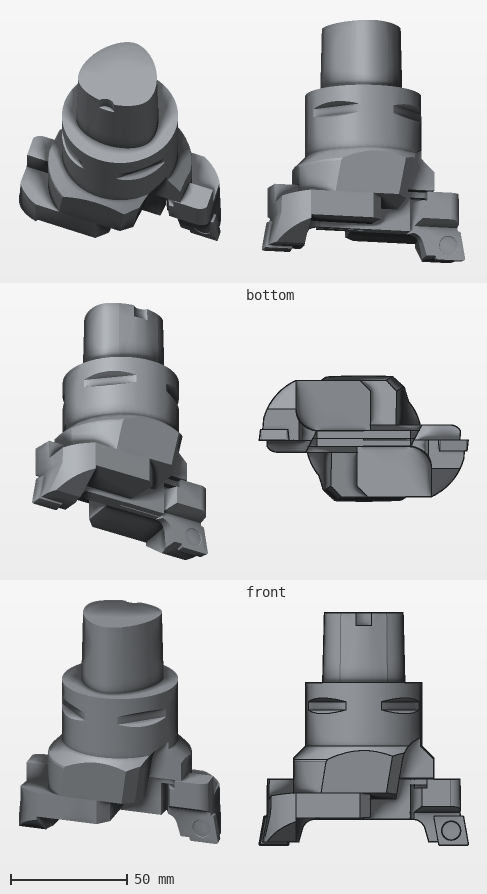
import cadquery as cq
import math


SHANK_LENGTH = 30.0
SHANK_MEAN_RADIUS = 17.7
SHANK_ECCENTRICITY = 2.4
LOBE_HALF_ANGLE = 36.0
SHANK_TAPER = 0.025
KEYWAY_RADIUS = 4.1
KEYWAY_CENTRE_Y = -17.9
KEYWAY_DEPTH = 5.4

FLANGE_RADIUS = 25.0
SKIRT_RADIUS = 31.0
CONE_TOP_Z = -27.25
CONE_BOTTOM_Z = -33.0
SKIRT_TOP_Z = -34.0
CONE_BOTTOM_RADIUS = FLANGE_RADIUS + CONE_TOP_Z - CONE_BOTTOM_Z
SIDE_FLAT_X = 30.1

GRIPPER_Z = -10.0
GRIPPER_FLOOR_DISTANCE = 22.2
GRIPPER_FLOOR_HALF_HEIGHT = 1.7
GRIPPER_SLOPE = 0.6

HALF_WIDTH = 25.0
RIM_Z = -47.4
FLAT_PEAK_Y = 26.955
FLAT_PEAK_Z = CONE_TOP_Z + FLANGE_RADIUS - FLAT_PEAK_Y
FLAT_SLOPE = (FLAT_PEAK_Y - HALF_WIDTH) / (FLAT_PEAK_Z - RIM_Z)

SLOT_HALF_WIDTH = 5.88
SLOT_TOP_Z = -41.0
KEY_TOP_Z = -41.5
SHOULDER_Z = -50.1

CLEARANCE_FOOT_X = 13.8
CLEARANCE_ANGLE = math.radians(9.6)
CLEARANCE_ARC_START_Z = CONE_BOTTOM_Z
CLEARANCE_ARC_RADIUS = 12.0
CORNER_CHAMFER = 4.55

CARTRIDGE_END_X = -2.9
LEG_BOTTOM_Z = -68.45
OUTER_ARC_CENTRE_X = 18.6
OUTER_ARC_CENTRE_Y = 2.0
OUTER_ARC_RADIUS = 25.3
LEG_CHAMFER_TOP_Z = -59.8
LEG_CHAMFER_BOTTOM_Y = 12.8
KEY_CORNER_RADIUS = 5.0
KEY_OUTER_X = 42.2
KEY_END_X = 25.0
KEY_END_SLOPE = 0.53
END_FACE_X = 41.4
END_FACE_SLOPE = 0.09
KEY_LEAN = 0.3
LEG_FLARE = 2.4
LEDGE_Z = -53.2
LEDGE_ROOT_Z = -55.85

TONGUE_WIDTH = 3.4
TONGUE_END_X = 20.0
TONGUE_ARM_END_X = 27.1
TONGUE_ARM_BOTTOM_Z = -44.0
ARM_NOTCH_BOTTOM_Z = -45.4

ARCH_Z = -58.8
ARCH_CORNER_X = 25.15
ARCH_FILLET = 5.5
ARCH_LEG_SLOPE = 0.287

RELIEF_WALL_X = 29.1
RELIEF_CORNER_RADIUS = 10.0
RELIEF_ROOF_Z = -56.5
RELIEF_TILT = 4.5

CUTTING_DIAMETER = 89.98
TOOL_TIP_Z = -70.0
INSERT_SIZE = 12.7
INSERT_THICKNESS = 4.76
INSERT_NOSE_RADIUS = 0.8
INSERT_RELIEF_ANGLE = 7.0
INSERT_LEAN = math.radians(10)
SCREW_HEAD_DIAMETER = 8.27
SCREW_HOLE_DIAMETER = 5.5
SCREW_SINK_ANGLE = 60.0
SCREW_RECESS = 0.3
RIGHT_RAKE_Y = 0.5
LEFT_RAKE_Y = 0.8

REACH = 80.0


def yz_prism(points):
    """Prism along the whole X width from (y, z) points."""
    return cq.Workplane("YZ").polyline(points).close().extrude(REACH, both=True)


def xz_prism(points):
    """Prism along the whole Y width from (x, z) points."""
    return cq.Workplane("XZ").polyline(points).close().extrude(REACH, both=True)


def box_between(x0, x1, y0, y1, z0, z1):
    box = cq.Workplane("XY").box(x1 - x0, y1 - y0, z1 - z0, centered=False)
    return box.translate((x0, y0, z0))


def opposite(shape):
    return shape.rotate((0, 0, 0), (0, 0, 1), 180)



def shank_point(radius, angle):
    """Point of the three-lobed outline at an angle counted from -Y, with one lobe towards +Y."""
    e = SHANK_ECCENTRICITY
    across = radius * math.sin(angle) + e * math.sin(2 * angle) + e / 2 * math.sin(4 * angle)
    along = radius * math.cos(angle) - e * math.cos(2 * angle) + e / 2 * math.cos(4 * angle)
    return (across, -along)


def make_shank_outline(radius, z):
    """Closed outline of three lobes and the three flanks between them."""
    seams = []
    for lobe in (60, 180, 300):
        seams += [lobe - LOBE_HALF_ANGLE, lobe + LOBE_HALF_ANGLE]
    ends = seams[1:] + [seams[0] + 360]
    outline = cq.Workplane("XY", origin=(0, 0, z))
    for start, end in zip(seams, ends):
        outline = outline.parametricCurve(
            lambda angle: shank_point(radius, angle),
            N=24, start=math.radians(start), stop=math.radians(end), makeWire=False,
        )
    return outline.wire().val()


def make_shank():
    top_radius = SHANK_MEAN_RADIUS - SHANK_TAPER * SHANK_LENGTH
    outlines = [make_shank_outline(SHANK_MEAN_RADIUS, 0), make_shank_outline(top_radius, SHANK_LENGTH)]
    shank = cq.Workplane(cq.Solid.makeLoft(outlines, True))
    keyway = (
        cq.Workplane("XY", origin=(0, KEYWAY_CENTRE_Y, SHANK_LENGTH))
        .circle(KEYWAY_RADIUS)
        .extrude(-KEYWAY_DEPTH)
    )
    return shank.cut(keyway)


def make_gripper_groove():
    outer_distance = FLANGE_RADIUS + 1
    outer_half = GRIPPER_FLOOR_HALF_HEIGHT + GRIPPER_SLOPE * (outer_distance - GRIPPER_FLOOR_DISTANCE)
    return xz_prism([
        (GRIPPER_FLOOR_DISTANCE, GRIPPER_Z - GRIPPER_FLOOR_HALF_HEIGHT),
        (outer_distance, GRIPPER_Z - outer_half),
        (outer_distance, GRIPPER_Z + outer_half),
        (GRIPPER_FLOOR_DISTANCE, GRIPPER_Z + GRIPPER_FLOOR_HALF_HEIGHT),
    ])


def flat_y(z):
    """|Y| of the tilted front and back flats at height z."""
    return HALF_WIDTH + FLAT_SLOPE * (z - RIM_Z)


def clearance_x(z):
    """X of the straight chip clearance wall at height z."""
    return CLEARANCE_FOOT_X + math.tan(CLEARANCE_ANGLE) * (z - SHOULDER_Z)


def make_clearance():
    """Chip clearance on the -Y side of +X: a leaning wall that sweeps out in an arc."""
    arc_start = (clearance_x(CLEARANCE_ARC_START_Z), CLEARANCE_ARC_START_Z)
    centre_x = arc_start[0] + CLEARANCE_ARC_RADIUS * math.cos(CLEARANCE_ANGLE)
    centre_z = arc_start[1] - CLEARANCE_ARC_RADIUS * math.sin(CLEARANCE_ANGLE)
    arc_mid_angle = (math.pi - CLEARANCE_ANGLE + math.pi / 2) / 2
    arc_mid = (
        centre_x + CLEARANCE_ARC_RADIUS * math.cos(arc_mid_angle),
        centre_z + CLEARANCE_ARC_RADIUS * math.sin(arc_mid_angle),
    )
    return (
        cq.Workplane("XZ", origin=(0, -SLOT_HALF_WIDTH, 0))
        .moveTo(clearance_x(-REACH), -REACH)
        .lineTo(*arc_start)
        .threePointArc(arc_mid, (centre_x, centre_z + CLEARANCE_ARC_RADIUS))
        .lineTo(REACH, centre_z + CLEARANCE_ARC_RADIUS)
        .lineTo(REACH, -REACH)
        .close()
        .extrude(REACH)
    )


def corner_chamfer_section(z):
    """Triangle that takes the corner between the front flat and the clearance wall."""
    margin = 3.0
    x = clearance_x(z)
    y = -flat_y(z)
    return [
        (x - CORNER_CHAMFER - margin, y - margin),
        (x + margin, y - margin),
        (x + margin, y + CORNER_CHAMFER + margin),
    ]


def make_corner_chamfer():
    bottom_z = SHOULDER_Z - 1
    return (
        cq.Workplane("XY", origin=(0, 0, bottom_z))
        .polyline(corner_chamfer_section(bottom_z)).close()
        .workplane(offset=CONE_TOP_Z - bottom_z)
        .polyline(corner_chamfer_section(CONE_TOP_Z)).close()
        .loft(ruled=True)
    )


def make_holder():
    holder = (
        cq.Workplane("XZ")
        .polyline([
            (0, 0),
            (FLANGE_RADIUS, 0),
            (FLANGE_RADIUS, CONE_TOP_Z),
            (CONE_BOTTOM_RADIUS, CONE_BOTTOM_Z),
            (SKIRT_RADIUS, SKIRT_TOP_Z),
            (SKIRT_RADIUS, SHOULDER_Z),
            (0, SHOULDER_Z),
        ])
        .close()
        .revolve(360, (0, 0, 0), (0, 1, 0))
    )
    holder = holder.intersect(box_between(-SIDE_FLAT_X, SIDE_FLAT_X, -REACH, REACH, -REACH, 0))
    right_half = [
        (SLOT_HALF_WIDTH, SLOT_TOP_Z),
        (SLOT_HALF_WIDTH, SHOULDER_Z),
        (HALF_WIDTH, RIM_Z),
        (flat_y(0), 0),
    ]
    left_half = [(-y, z) for y, z in reversed(right_half)]
    holder = holder.intersect(yz_prism(right_half + left_half))

    for cutter in (make_clearance(), make_corner_chamfer()):
        holder = holder.cut(cutter).cut(opposite(cutter))
    groove = make_gripper_groove()
    for quarter in range(4):
        holder = holder.cut(groove.rotate((0, 0, 0), (0, 0, 1), 45 + 90 * quarter))
    return holder.union(make_shank())



def insert_outline_points():
    """Sharp rhombus in (x, z) whose rounded nose touches the cutting diameter."""
    nose_centre_x = CUTTING_DIAMETER / 2 - INSERT_NOSE_RADIUS
    nose_half_angle = (math.pi / 2 - INSERT_LEAN) / 2
    corner_x = nose_centre_x + INSERT_NOSE_RADIUS / math.tan(nose_half_angle)
    side = INSERT_SIZE / math.cos(INSERT_LEAN)
    shift = INSERT_SIZE * math.tan(INSERT_LEAN)
    top_z = TOOL_TIP_Z + INSERT_SIZE
    return [
        (corner_x, TOOL_TIP_Z),
        (corner_x - shift, top_z),
        (corner_x - shift - side, top_z),
        (corner_x - side, TOOL_TIP_Z),
    ]


def make_insert_blank(rake_y):
    """Insert without its hole; the rake face looks towards -Y."""
    sharp = (
        cq.Workplane("XZ", origin=(0, rake_y, 0))
        .polyline(insert_outline_points()).close()
        .extrude(-INSERT_THICKNESS)
        .edges("|Y").fillet(INSERT_NOSE_RADIUS)
    )
    outline = sharp.faces("<Y").wires().toPending()
    return outline.workplane(origin=(0, rake_y, 0)).extrude(
        -INSERT_THICKNESS, combine=False, taper=INSERT_RELIEF_ANGLE
    )


def make_screw(rake_y, recess):
    """Countersunk screw shape filling the insert hole, sunk by the given recess."""
    points = insert_outline_points()
    centre_x = sum(x for x, z in points) / len(points)
    centre_z = sum(z for x, z in points) / len(points)
    head_radius = SCREW_HEAD_DIAMETER / 2
    hole_radius = SCREW_HOLE_DIAMETER / 2
    flank = math.tan(math.radians(SCREW_SINK_ANGLE / 2))
    sink_depth = (head_radius - hole_radius) / flank
    section = [
        (0, recess),
        (head_radius - recess * flank, recess),
        (hole_radius, sink_depth),
        (hole_radius, INSERT_THICKNESS),
        (0, INSERT_THICKNESS),
    ]
    screw = cq.Workplane("XY").polyline(section).close().revolve(360, (0, 0, 0), (0, 1, 0))
    return screw.translate((centre_x, rake_y, centre_z))


def make_insert(rake_y):
    return make_insert_blank(rake_y).cut(make_screw(rake_y, 0))



def end_face_region(extra_x):
    """Plan region inside the slanted outer end face, moved out by extra_x."""
    x = END_FACE_X + extra_x
    return [
        (-REACH, -SLOT_HALF_WIDTH),
        (x + END_FACE_SLOPE * SLOT_HALF_WIDTH, -SLOT_HALF_WIDTH),
        (x - END_FACE_SLOPE * REACH, REACH),
        (-REACH, REACH),
    ]


def end_limit_step(bottom_z, bottom_extra_x, top_z, top_extra_x):
    """Ruled block inside the end face between two heights."""
    return (
        cq.Workplane("XY", origin=(0, 0, bottom_z))
        .polyline(end_face_region(bottom_extra_x)).close()
        .workplane(offset=top_z - bottom_z)
        .polyline(end_face_region(top_extra_x)).close()
        .loft(ruled=True)
    )


def make_end_limit():
    """Space inside the end face: nearly upright beside the key, flaring out down the leg."""
    upper = end_limit_step(LEDGE_ROOT_Z, 0, KEY_TOP_Z, -KEY_LEAN)
    lower = end_limit_step(LEG_BOTTOM_Z, LEG_FLARE, LEDGE_ROOT_Z, 0)
    return upper.union(lower)


def make_plan_blank():
    """Plan outline of main block, key and leg, full height."""
    arc_start_x = OUTER_ARC_CENTRE_X + math.sqrt(OUTER_ARC_RADIUS**2 - (HALF_WIDTH - OUTER_ARC_CENTRE_Y)**2)
    arc_middle = (
        OUTER_ARC_CENTRE_X + OUTER_ARC_RADIUS * math.cos(math.pi / 6),
        OUTER_ARC_CENTRE_Y + OUTER_ARC_RADIUS * math.sin(math.pi / 6),
    )
    arc_end_x = OUTER_ARC_CENTRE_X + OUTER_ARC_RADIUS
    key_end_root_y = (KEY_END_X - TONGUE_END_X) / KEY_END_SLOPE - SLOT_HALF_WIDTH
    return (
        cq.Workplane("XY", origin=(0, 0, LEG_BOTTOM_Z))
        .moveTo(CARTRIDGE_END_X, 0)
        .lineTo(TONGUE_END_X, 0)
        .lineTo(TONGUE_END_X, key_end_root_y)
        .lineTo(KEY_END_X, -SLOT_HALF_WIDTH)
        .lineTo(KEY_OUTER_X - KEY_CORNER_RADIUS, -SLOT_HALF_WIDTH)
        .radiusArc((KEY_OUTER_X, KEY_CORNER_RADIUS - SLOT_HALF_WIDTH), -KEY_CORNER_RADIUS)
        .lineTo(KEY_OUTER_X, OUTER_ARC_CENTRE_Y)
        .lineTo(arc_end_x, OUTER_ARC_CENTRE_Y)
        .threePointArc(arc_middle, (arc_start_x, HALF_WIDTH))
        .lineTo(CARTRIDGE_END_X + CORNER_CHAMFER, HALF_WIDTH)
        .lineTo(CARTRIDGE_END_X, HALF_WIDTH - CORNER_CHAMFER)
        .close()
        .extrude(KEY_TOP_Z - LEG_BOTTOM_Z)
    )


def make_side_limit(rake_y):
    """Key, sloping shoulder, chamfered leg foot and insert floor as one (y, z) section."""
    return yz_prism([
        (-SLOT_HALF_WIDTH, KEY_TOP_Z),
        (SLOT_HALF_WIDTH, KEY_TOP_Z),
        (SLOT_HALF_WIDTH, SHOULDER_Z),
        (HALF_WIDTH, RIM_Z),
        (HALF_WIDTH, LEG_CHAMFER_TOP_Z),
        (LEG_CHAMFER_BOTTOM_Y, LEG_BOTTOM_Z),
        (rake_y, LEG_BOTTOM_Z),
        (rake_y, LEDGE_ROOT_Z),
        (-SLOT_HALF_WIDTH, LEDGE_Z),
    ])


def make_arch():
    """Space between the two legs, rounded where leg and block meet."""
    corner_x = ARCH_CORNER_X
    foot_x = corner_x + ARCH_LEG_SLOPE * REACH
    arch = xz_prism([
        (-REACH, ARCH_Z), (corner_x, ARCH_Z), (foot_x, ARCH_Z - REACH), (-REACH, ARCH_Z - REACH)
    ])
    corner = cq.selectors.NearestToPointSelector((corner_x, 0, ARCH_Z))
    return arch.edges(corner).fillet(ARCH_FILLET)


def make_relief():
    """Tilted hollow behind the tongue, with a rounded corner against the leg."""
    relief = box_between(-REACH, RELIEF_WALL_X, TONGUE_WIDTH, REACH, RELIEF_ROOF_Z - REACH, RELIEF_ROOF_Z)
    relief = relief.edges("|Z and >X and <Y").fillet(RELIEF_CORNER_RADIUS)
    pivot = (0, TONGUE_WIDTH, RELIEF_ROOF_Z)
    return relief.rotate(pivot, (1, TONGUE_WIDTH, RELIEF_ROOF_Z), -RELIEF_TILT)


def make_tongue():
    """Tongue that runs past the centre beside the opposite cartridge."""
    tongue = box_between(-TONGUE_END_X, 0, 0, TONGUE_WIDTH, ARCH_Z, KEY_TOP_Z)
    arm = box_between(-TONGUE_ARM_END_X, 0, 0, TONGUE_WIDTH, TONGUE_ARM_BOTTOM_Z, KEY_TOP_Z)
    return tongue.union(arm)


def make_cartridge(rake_y):
    cartridge = make_plan_blank().intersect(make_end_limit())
    cartridge = cartridge.intersect(make_side_limit(rake_y))
    arm_notch = box_between(0, TONGUE_ARM_END_X, -REACH, 0, ARM_NOTCH_BOTTOM_Z, 0)
    cartridge = cartridge.cut(arm_notch).cut(make_arch()).cut(make_relief())
    cartridge = cartridge.union(make_tongue())
    return cartridge.cut(make_insert_blank(rake_y)).union(make_screw(rake_y, SCREW_RECESS))



holder = make_holder()
right_cartridge = make_cartridge(RIGHT_RAKE_Y)
right_insert = make_insert(RIGHT_RAKE_Y)
left_cartridge = opposite(make_cartridge(-LEFT_RAKE_Y))
left_insert = opposite(make_insert(-LEFT_RAKE_Y))

bodies = [holder, right_cartridge, left_cartridge, right_insert, left_insert]
result = cq.Compound.makeCompound([body.solids().val() for body in bodies])